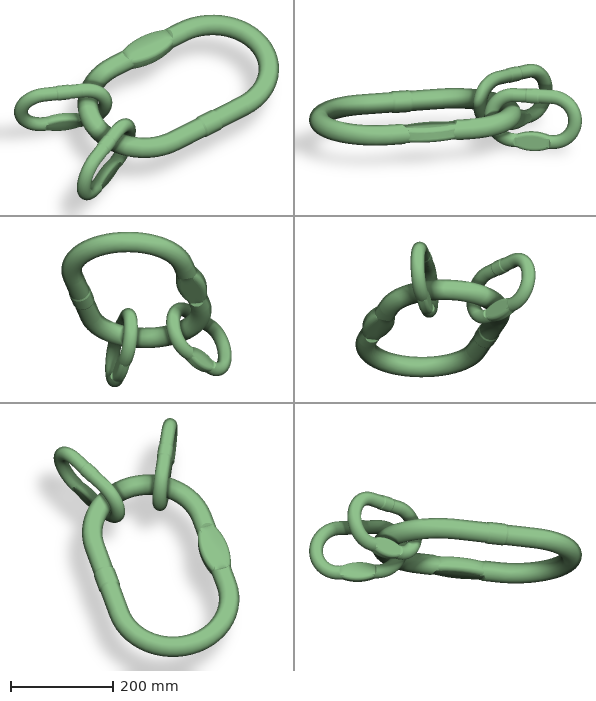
import cadquery as cq
import math

MASTER_WIRE = 40.0
MASTER_INNER_LENGTH = 340.0
MASTER_INNER_WIDTH = 180.0
SUB_WIRE = 27.0
SUB_INNER_LENGTH = 140.0
SUB_INNER_WIDTH = 65.0

COLLAR_DIAMETER = 1.075
COLLAR_BAND_LENGTH = 0.8
COLLAR_TOTAL_LENGTH = 1.0

BULGE_WIDTH = 1.395
BULGE_LENGTH = 2.35
BULGE_END_WIDTH = 0.944
BULGE_EDGE_RADIUS = 0.235
FLAT_THICKNESS = 0.75
FLAT_LENGTH = 2.5

SUB_TILT = 25.0
SUB_CENTRE_X = 77.5
SUB_LOWEST_Y = -307.32


def rod(wire, x, length):
    """Straight round bar along Y, centred at the given X."""
    return cq.Workplane("XZ").center(x, 0).circle(wire / 2).extrude(length / 2, both=True)


def bend(wire, bend_radius, y, direction):
    """Half-circle end of a link, bulging towards +Y (1) or -Y (-1)."""
    return (
        cq.Workplane("XZ", origin=(0, y, 0))
        .center(bend_radius, 0)
        .circle(wire / 2)
        .revolve(180, (-bend_radius, 0), (-bend_radius, direction))
    )


def weld_collar(wire, x):
    """Raised band around the bar, tapering to the bar at both ends."""
    band_radius = COLLAR_DIAMETER * wire / 2
    band_end = COLLAR_BAND_LENGTH * wire / 2
    taper_end = COLLAR_TOTAL_LENGTH * wire / 2
    profile = [
        (0, -taper_end),
        (wire / 2, -taper_end),
        (band_radius, -band_end),
        (band_radius, band_end),
        (wire / 2, taper_end),
        (0, taper_end),
    ]
    collar = cq.Workplane("XY").polyline(profile).close().revolve(360, (0, 0), (0, 1))
    return collar.translate((x, 0, 0))


def flat_recess(wire, x):
    """Material pressed off the top of the bar: a flat with 45 degree ends."""
    floor = FLAT_THICKNESS * wire / 2
    half_floor = FLAT_LENGTH * wire / 2
    depth = wire / 2
    half_mouth = half_floor + depth
    profile = [
        (-half_floor, floor),
        (half_floor, floor),
        (half_mouth, floor + depth),
        (-half_mouth, floor + depth),
    ]
    recess = cq.Workplane("YZ").polyline(profile).close().extrude(wire, both=True)
    return recess.translate((x, 0, 0))


def bulge(wire, x):
    """Barrel-shaped widening between the flats, with rounded long edges."""
    half_middle = BULGE_WIDTH * wire / 2
    half_end = BULGE_END_WIDTH * wire / 2
    half_length = BULGE_LENGTH * wire / 2
    barrel = (
        cq.Workplane("XY")
        .moveTo(-half_end, -half_length)
        .lineTo(half_end, -half_length)
        .threePointArc((half_middle, 0), (half_end, half_length))
        .lineTo(-half_end, half_length)
        .threePointArc((-half_middle, 0), (-half_end, -half_length))
        .close()
        .extrude(FLAT_THICKNESS * wire / 2, both=True)
        .edges("%CIRCLE")
        .fillet(BULGE_EDGE_RADIUS * wire)
    )
    return barrel.translate((x, 0, 0))


def make_link(wire, inner_length, inner_width):
    """Oval link in the XY plane, long along Y: collar on the +X side, forged flat on the -X side."""
    side_x = (inner_width + wire) / 2
    straight = inner_length - inner_width

    recess = flat_recess(wire, -side_x)
    forged_side = rod(wire, -side_x, straight).cut(recess).cut(recess.mirror("XY"))
    forged_side = forged_side.union(bulge(wire, -side_x))
    collar_side = rod(wire, side_x, straight).union(weld_collar(wire, side_x))

    return (
        bend(wire, side_x, straight / 2, 1)
        .union(bend(wire, side_x, -straight / 2, -1))
        .union(forged_side)
        .union(collar_side)
    )


def make_sub_link(side):
    """Sub-link standing upright, collar on top, leaning outwards to the given X side (1 or -1)."""
    end_to_centre = (SUB_INNER_LENGTH + SUB_WIRE) / 2
    centre_y = SUB_LOWEST_Y + SUB_WIRE / 2 + end_to_centre * math.cos(math.radians(SUB_TILT))
    centre_z = (BULGE_WIDTH - COLLAR_DIAMETER) * SUB_WIRE / 4
    return (
        make_link(SUB_WIRE, SUB_INNER_LENGTH, SUB_INNER_WIDTH)
        .rotate((0, 0, 0), (0, 1, 0), -90)
        .rotate((0, 0, 0), (0, 0, 1), side * SUB_TILT)
        .translate((side * SUB_CENTRE_X, centre_y, centre_z))
    )


master_link = make_link(MASTER_WIRE, MASTER_INNER_LENGTH, MASTER_INNER_WIDTH)
sub_links = [make_sub_link(side) for side in (-1, 1)]

result = cq.Compound.makeCompound([master_link.val(), *[link.val() for link in sub_links]])